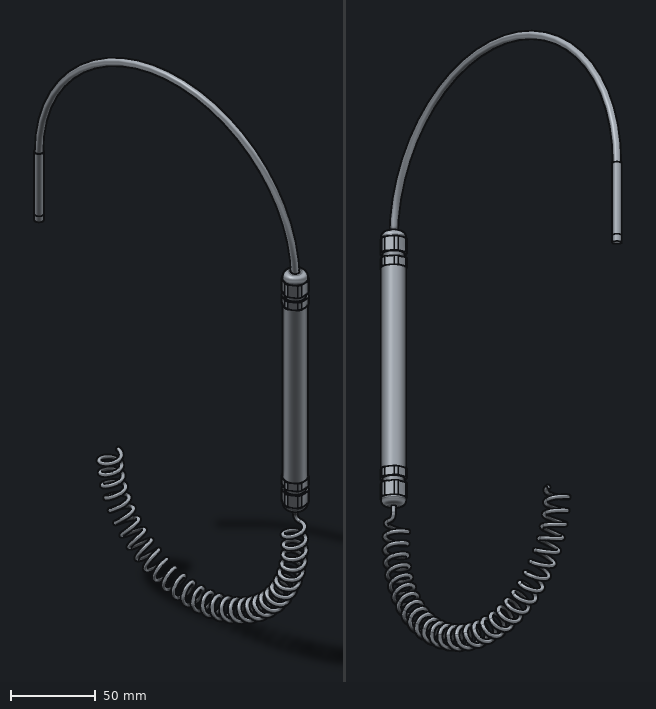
import cadquery as cq
import math


tube_diameter = 15.0
tube_length = 124.5

hex_across_flats = 15.0
hex_corner_diameter = 16.3
neck_diameter = 13.0
nut_height = 5.5
neck_height = 3.5
cap_height = 9.0
dome_height = 4.8
dome_fillet = 3.7
gland_height = nut_height + neck_height + cap_height + dome_height

cable_diameter = 5.0
arch_radius = 100.0
arch_center_z = 142.7

probe_diameter = 6.0
sleeve_length = 44.7
tip_length = 4.5
probe_x = -2 * arch_radius

wire_diameter = 3.0
stub_length = 4.0
lead_reach = 4.0
coil_radius = 6.5
coil_turns = 31
turn_angle = 0.108
bend_radius = 72.0
points_per_turn = 16

stub_top_z = -gland_height
stub_end_z = stub_top_z - stub_length
coil_start_x = lead_reach
coil_start_z = stub_end_z - lead_reach
bend_start_angle = 0.19
bend_center_x = coil_start_x - bend_radius * math.cos(bend_start_angle)
bend_center_z = coil_start_z - bend_radius * math.sin(bend_start_angle)


def make_tube():
    return cq.Workplane("XY").circle(tube_diameter / 2).extrude(tube_length)


def hex_prism(base_z, height):
    """Hexagonal prism with turned-down corners, two flats facing along X and two corners along Y."""
    across_corners = hex_across_flats / math.cos(math.pi / 6)
    base = cq.Workplane("XY").workplane(offset=base_z)
    prism = base.polygon(6, across_corners).extrude(height).rotate((0, 0, 0), (0, 0, 1), 90)
    return prism.intersect(base.circle(hex_corner_diameter / 2).extrude(height))


def make_dome(base_z):
    """Round end of the cap with a large fillet on its outer rim."""
    dome = cq.Workplane("XY").workplane(offset=base_z).circle(hex_across_flats / 2).extrude(dome_height)
    return dome.faces(">Z").edges().fillet(dome_fillet)


def make_gland():
    """Gland standing on Z = 0: nut, round neck, hexagonal cap and rounded dome."""
    neck_z = nut_height
    cap_z = neck_z + neck_height
    dome_z = cap_z + cap_height
    neck = cq.Workplane("XY").workplane(offset=neck_z).circle(neck_diameter / 2).extrude(neck_height)
    nut = hex_prism(0, nut_height)
    cap = hex_prism(cap_z, cap_height)
    return nut.union(neck).union(cap).union(make_dome(dome_z))


def make_sensor_cable():
    path = (
        cq.Workplane("XZ", origin=(0, 0, arch_center_z))
        .threePointArc((-arch_radius, arch_radius), (probe_x, 0))
    )
    profile = cq.Workplane("XY", origin=(0, 0, arch_center_z)).circle(cable_diameter / 2)
    return profile.sweep(path)


def make_probe_section(top_z, length):
    section = cq.Workplane("XY", origin=(probe_x, 0, top_z))
    return section.circle(probe_diameter / 2).extrude(-length)


def coil_point(turn):
    """Point on the wire's centre line after a number of turns, starting on the +Y side."""
    bend = bend_start_angle - turn * turn_angle
    spin = 2 * math.pi * turn
    reach = bend_radius + coil_radius * math.sin(spin)
    return cq.Vector(
        bend_center_x + reach * math.cos(bend),
        coil_radius * (math.cos(spin) - 1),
        bend_center_z + reach * math.sin(bend),
    )


def coil_velocity(turn):
    """Derivative of the wire's centre line with respect to the turn number."""
    step = 0.001
    return (coil_point(turn + step) - coil_point(turn - step)) / (2 * step)


def make_coil_turn(first):
    """Centre line of one turn, as a spline that is smooth with its neighbours."""
    turns = [first + i / points_per_turn for i in range(points_per_turn + 1)]
    return cq.Edge.makeSpline(
        [coil_point(turn) for turn in turns],
        tangents=[coil_velocity(first), coil_velocity(first + 1)],
        parameters=turns,
        scale=False,
    )


def make_coiled_cable():
    stub_top = cq.Vector(0, 0, stub_top_z)
    stub_end = cq.Vector(0, 0, stub_end_z)
    down = cq.Vector(0, 0, -1)
    stub = cq.Edge.makeLine(stub_top, stub_end)
    lead = cq.Edge.makeSpline([stub_end, coil_point(0)], tangents=[down, coil_velocity(0).normalized()])
    turns = [make_coil_turn(i) for i in range(coil_turns)]
    path = cq.Wire.assembleEdges([stub, lead, *turns])
    profile = cq.Workplane(cq.Plane(stub_top, normal=down)).circle(wire_diameter / 2)
    return profile.sweep(cq.Workplane(path))


tube = make_tube()
sensor_cable = make_sensor_cable()
upper_gland = make_gland().translate((0, 0, tube_length)).cut(sensor_cable)
lower_gland = make_gland().mirror("XY")
probe_sleeve = make_probe_section(arch_center_z, sleeve_length)
probe_tip = make_probe_section(arch_center_z - sleeve_length, tip_length)
coiled_cable = make_coiled_cable()

result = cq.Compound.makeCompound([
    tube.val(),
    upper_gland.val(),
    lower_gland.val(),
    sensor_cable.val(),
    probe_sleeve.val(),
    probe_tip.val(),
    coiled_cable.val(),
])